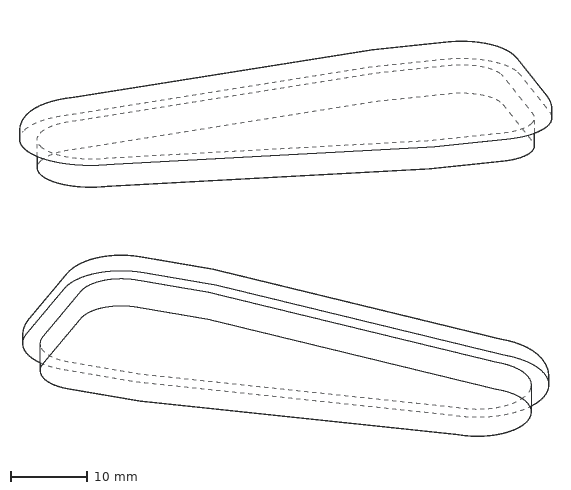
import cadquery as cq

length = 70.0
head_width = 30.0
height = 7.0

corner_radius = 8.0
head_side_length = 18.2
tip_radius = 9.4

lid_thickness = 3.0
lid_edge_radius = 1.8
plug_inset = 2.3

plug_height = height - lid_thickness
half_width = head_width / 2
taper_start_y = length - head_side_length


def lid_outline():
    """Tapered outline with a semicircular tip at Y = 0 and a square head end."""
    return (
        cq.Workplane("XY")
        .workplane(offset=plug_height)
        .moveTo(-tip_radius, tip_radius)
        .threePointArc((0, 0), (tip_radius, tip_radius))
        .lineTo(half_width, taper_start_y)
        .lineTo(half_width, length)
        .lineTo(-half_width, length)
        .lineTo(-half_width, taper_start_y)
        .close()
    )


def make_lid():
    """Flat lid with rounded head corners and a rounded upper edge."""
    lid = lid_outline().extrude(lid_thickness)
    lid = lid.edges("|Z and >Y").fillet(corner_radius)
    return lid.faces(">Z").edges().fillet(lid_edge_radius)


def make_plug(lid):
    """Solid plug below the lid, inset evenly from the lid's rim."""
    rim = lid.faces("<Z").wires()
    return rim.toPending().offset2D(-plug_inset).extrude(-plug_height, combine=False)


lid = make_lid()
plug = make_plug(lid)
result = lid.union(plug)